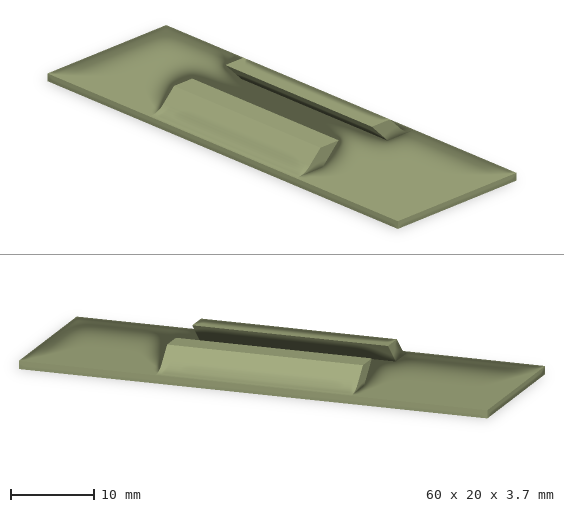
import cadquery as cq
import math

plate_length = 60.0
plate_width = 20.0
plate_thickness = 1.0

total_height = 3.7
rail_length = 25.1
rail_top_width = 3.05
top_gap = 5.6
lean_angle = math.radians(45)
root_radius = 2.9

rail_height = total_height - plate_thickness
lean_run = rail_height / math.tan(lean_angle)


def make_rail():
    """Rail on the +Y side, with its outer foot blended into the plate."""
    top_inner = top_gap / 2
    top_outer = top_inner + rail_top_width
    foot_inner = top_inner + lean_run
    foot_corner = top_outer + lean_run

    blend_end = foot_corner + root_radius * math.tan(lean_angle / 2)
    arc_center_z = plate_thickness + root_radius

    def blend_point(angle):
        y = blend_end - root_radius * math.sin(angle)
        z = arc_center_z - root_radius * math.cos(angle)
        return y, z

    return (
        cq.Workplane("YZ", origin=(-rail_length / 2, 0, 0))
        .moveTo(foot_inner, plate_thickness)
        .lineTo(top_inner, total_height)
        .lineTo(top_outer, total_height)
        .lineTo(*blend_point(lean_angle))
        .threePointArc(blend_point(lean_angle / 2), blend_point(0))
        .close()
        .extrude(rail_length)
    )


plate = cq.Workplane("XY").box(
    plate_length, plate_width, plate_thickness, centered=(True, True, False)
)
rail = make_rail()
result = plate.union(rail).union(rail.mirror("XZ"))